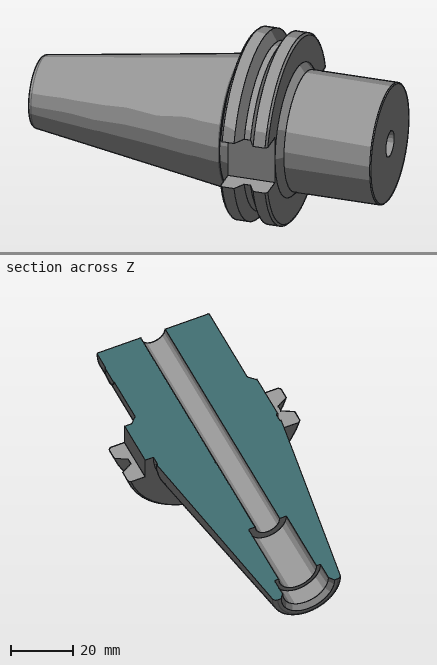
import cadquery as cq
import math

total_length = 119.1
gauge_x = 68.1
land_end_x = 68.5
flange_start_x = 71.5
flange_width = 16.0
flange_end_x = flange_start_x + flange_width
flange_center_x = flange_start_x + flange_width / 2
shank_start_x = 89.7

gauge_diameter = 44.4
small_end_diameter = 23.8
small_end_fillet = 1.4

neck_diameter = 43.7
flange_diameter = 63.3
flange_chamfer = 0.7
shoulder_diameter = 44.4
shank_diameter = 40.0
shank_chamfer = 0.4

groove_floor_diameter = 55.8
groove_floor_width = 2.1
groove_flank_angle = 30.0

slot_width = 16.3
front_slot_floor_y = -22.4
rear_slot_floor_y = 24.8

countersink_diameter = 19.0
countersink_depth = 1.8
entry_bore_diameter = 16.2
entry_bore_end_x = 7.9
thread_bore_diameter = 13.3
thread_bore_end_x = 31.0
through_bore_diameter = 8.6

screw_diameter = 6.5
screw_x = 109.0
screw_protrusion = 0.2


def revolve_about_x(points):
    """Revolve an (x, radius) outline about the part axis."""
    return cq.Workplane("XY").polyline(points).close().revolve(360, (0, 0, 0), (1, 0, 0))


def cylinder_along_x(diameter, start_x, end_x):
    return cq.Workplane("YZ", origin=(start_x, 0, 0)).circle(diameter / 2).extrude(end_x - start_x)


def make_taper():
    taper = revolve_about_x([
        (0, 0),
        (0, small_end_diameter / 2),
        (gauge_x, gauge_diameter / 2),
        (land_end_x, gauge_diameter / 2),
        (land_end_x, 0),
    ])
    return taper.faces("<X").edges().fillet(small_end_fillet)


def make_flange():
    flange = cylinder_along_x(flange_diameter, flange_start_x, flange_end_x)
    flange = flange.edges().chamfer(flange_chamfer)
    flange = flange.cut(make_groove())
    for floor_y in (front_slot_floor_y, rear_slot_floor_y):
        flange = flange.cut(make_drive_slot(floor_y))
    return flange


def make_groove():
    floor_radius = groove_floor_diameter / 2
    outer_radius = flange_diameter / 2
    half_floor = groove_floor_width / 2
    half_mouth = half_floor + (outer_radius - floor_radius) * math.tan(math.radians(groove_flank_angle))
    return revolve_about_x([
        (flange_center_x - half_floor, floor_radius),
        (flange_center_x - half_mouth, outer_radius),
        (flange_center_x + half_mouth, outer_radius),
        (flange_center_x + half_floor, floor_radius),
    ])


def make_drive_slot(floor_y):
    """Slot through the full flange width, from its floor out to the rim on the same side."""
    rim_y = math.copysign(flange_diameter / 2, floor_y)
    center = (flange_center_x, (floor_y + rim_y) / 2, 0)
    return cq.Workplane("XY", origin=center).box(flange_width, abs(rim_y - floor_y), slot_width)


def make_shank():
    shank = cylinder_along_x(shank_diameter, flange_end_x, total_length)
    shank = shank.faces(">X").edges().chamfer(shank_chamfer)
    shoulder = revolve_about_x([
        (flange_end_x, 0),
        (flange_end_x, shoulder_diameter / 2),
        (shank_start_x, shank_diameter / 2),
        (shank_start_x, 0),
    ])
    return shank.union(shoulder)


def make_bore():
    countersink = revolve_about_x([
        (0, 0),
        (0, countersink_diameter / 2),
        (countersink_depth, entry_bore_diameter / 2),
        (countersink_depth, 0),
    ])
    bore = cylinder_along_x(through_bore_diameter, 0, total_length)
    bore = bore.union(cylinder_along_x(thread_bore_diameter, 0, thread_bore_end_x))
    bore = bore.union(cylinder_along_x(entry_bore_diameter, 0, entry_bore_end_x))
    return bore.union(countersink)


def make_screw_ends():
    """Two flat-topped round pads at right angles, facing -Z and +Y."""
    start = (through_bore_diameter + shank_diameter) / 4
    length = shank_diameter / 2 + screw_protrusion - start
    pad = cq.Workplane("XY", origin=(screw_x, 0, start)).circle(screw_diameter / 2).extrude(length)
    facing_down = pad.rotate((0, 0, 0), (1, 0, 0), 180)
    facing_rear = pad.rotate((0, 0, 0), (1, 0, 0), -90)
    return facing_down.union(facing_rear)


neck = cylinder_along_x(neck_diameter, land_end_x, flange_start_x)
body = make_taper().union(neck).union(make_flange()).union(make_shank())
result = body.union(make_screw_ends()).cut(make_bore())